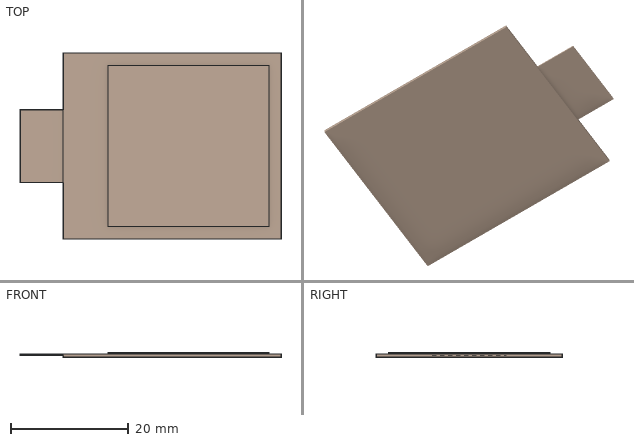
import cadquery as cq

total_length = 44.6
total_height = 0.8

panel_length = 37.3
panel_width = 31.8
raised_height = 0.2
panel_thickness = total_height - raised_height

raised_side = 27.55
raised_edge_gap = 2.1

tail_length = total_length - panel_length
tail_width = 12.5
tail_thickness = 0.25
tail_drop = 0.05


def block(x_min, z_min, length, width, height):
    """Rectangular block centred on Y, placed by its low X side and its bottom."""
    centered_block = cq.Workplane("XY").box(length, width, height, centered=(False, True, False))
    return centered_block.translate((x_min, 0, z_min))


panel = block(tail_length, 0, panel_length, panel_width, panel_thickness)

raised_start = total_length - raised_edge_gap - raised_side
raised_area = block(raised_start, panel_thickness, raised_side, raised_side, raised_height)

tail_bottom = panel_thickness - tail_drop - tail_thickness
tail = block(0, tail_bottom, tail_length, tail_width, tail_thickness)

result = panel.union(raised_area).union(tail)